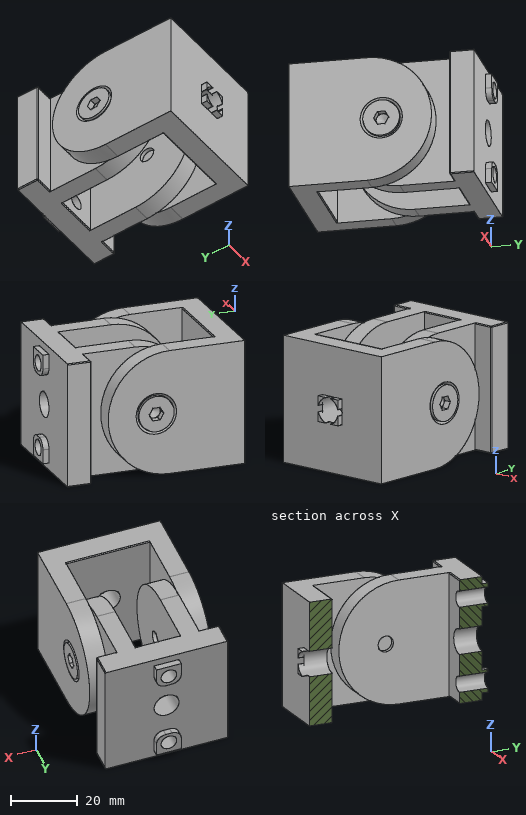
import cadquery as cq
import math


side = 39.5
total_length = 61.0
key_height = 1.95
end_face_y = total_length / 2 - key_height
floor_y = 21.0
arm_end_radius = side / 2
arm_end_offset = 4.3
edge_chamfer = 0.3
center_bore_diameter = 8.0

outer_fork_gap = 26.95
inner_fork_width = 26.5
inner_fork_gap = 14.5

key_width = 8.0
cross_slot_width = 2.0
end_key_outer_z = 17.45
end_key_inner_z = 10.0
end_key_corner_radius = 3.0

flange_hole_z = 13.55
flange_hole_diameter = 5.0

screw_overall_width = 39.95
screw_length = 11.45
head_diameter = 11.35
head_land = 1.05
shank_diameter = 6.0
tip_diameter = 5.0
hex_across_flats = 4.0
hex_depth = 2.2
hex_cone_depth = 1.15
head_face_x = screw_overall_width / 2
screw_tip_x = head_face_x - screw_length
shoulder_x = outer_fork_gap / 2
cone_start_x = head_face_x - head_land
cone_end_x = cone_start_x - (head_diameter - shank_diameter) / 2
seat_mouth_radius = head_diameter / 2 + (side / 2 - cone_start_x)


def box(x_range, y_range, z_range):
    """Box between the given limits on each axis."""
    size = [high - low for low, high in (x_range, y_range, z_range)]
    return cq.Workplane("XY").box(*size, centered=False).translate((x_range[0], y_range[0], z_range[0]))


def cylinder_along_y(diameter, y_range):
    length = y_range[1] - y_range[0]
    return cq.Workplane("XZ", origin=(0, y_range[1], 0)).circle(diameter / 2).extrude(length)


def make_arms(outer_width, gap_width, direction):
    """Pair of arms from the end face to their rounded ends, pointing along direction * Y."""
    root_y = -direction * end_face_y
    center_y = -direction * arm_end_offset
    tip_y = center_y + direction * arm_end_radius
    block = (
        cq.Workplane("YZ", origin=(-outer_width / 2, 0, 0))
        .moveTo(root_y, -side / 2)
        .lineTo(center_y, -side / 2)
        .threePointArc((tip_y, 0), (center_y, side / 2))
        .lineTo(root_y, side / 2)
        .close()
        .extrude(outer_width)
    )
    gap = box((-gap_width / 2, gap_width / 2), (-end_face_y, end_face_y), (-side / 2, side / 2))
    return block.cut(gap)


def revolve_about_x(profile):
    """Solid of revolution about the X axis from (x, radius) points."""
    return cq.Workplane("XY").polyline(profile).close().revolve(360, (0, 0, 0), (1, 0, 0))


def both_sides(body):
    """The body and its mirror image on the -X side."""
    return [body, body.mirror("YZ")]


def make_outer_fork():
    """Fork at -Y with the countersunk arms outside and a cross-slotted square key."""
    half = side / 2
    base = box((-half, half), (-end_face_y, -floor_y), (-half, half))
    base = base.faces(">Y").edges("|X").chamfer(edge_chamfer)
    fork = base.union(make_arms(side, outer_fork_gap, 1))

    key_y = (-total_length / 2, -end_face_y)
    key_half = key_width / 2
    slot_half = cross_slot_width / 2
    key = box((-key_half, key_half), key_y, (-key_half, key_half))
    key = key.cut(box((-slot_half, slot_half), key_y, (-key_half, key_half)))
    key = key.cut(box((-key_half, key_half), key_y, (-slot_half, slot_half)))
    fork = fork.union(key)
    fork = fork.cut(cylinder_along_y(center_bore_diameter, (-total_length / 2, -floor_y)))

    seat = revolve_about_x([
        (shoulder_x, 0),
        (shoulder_x, shank_diameter / 2),
        (cone_end_x, shank_diameter / 2),
        (half, seat_mouth_radius),
        (half, 0),
    ])
    for cutter in both_sides(seat):
        fork = fork.cut(cutter)
    return fork


def make_end_key():
    """Upper key on the +Y end face, with its two lower corners rounded."""
    half = key_width / 2
    key = box((-half, half), (end_face_y, total_length / 2), (end_key_inner_z, end_key_outer_z))
    return key.faces("<Z").edges("|Y").fillet(end_key_corner_radius)


def make_inner_fork():
    """Fork at +Y with a wide flange, its arms fitting between those of the outer fork."""
    half = side / 2
    flange = box((-half, half), (floor_y, end_face_y), (-half, half))
    flange = flange.edges("<Y or (|Y and (<X or >X))").chamfer(edge_chamfer)
    fork = flange.union(make_arms(inner_fork_width, inner_fork_gap, -1))

    upper_key = make_end_key()
    fork = fork.union(upper_key).union(upper_key.mirror("XY"))
    fork = fork.cut(cylinder_along_y(center_bore_diameter, (floor_y, end_face_y)))

    hole_y = (floor_y, total_length / 2)
    for z in (-flange_hole_z, flange_hole_z):
        fork = fork.cut(cylinder_along_y(flange_hole_diameter, hole_y).translate((0, 0, z)))

    screw_hole = cq.Workplane("YZ", origin=(-half, 0, 0)).circle(tip_diameter / 2).extrude(side)
    return fork.cut(screw_hole)


def make_screw():
    """Countersunk screw on the +X side, with a hexagonal socket ending in a cone."""
    screw = revolve_about_x([
        (screw_tip_x, 0),
        (screw_tip_x, tip_diameter / 2),
        (shoulder_x, tip_diameter / 2),
        (shoulder_x, shank_diameter / 2),
        (cone_end_x, shank_diameter / 2),
        (cone_start_x, head_diameter / 2),
        (head_face_x, head_diameter / 2),
        (head_face_x, 0),
    ])
    across_corners = hex_across_flats / math.cos(math.pi / 6)
    socket_floor_x = head_face_x - hex_depth
    socket = cq.Workplane("YZ", origin=(socket_floor_x, 0, 0)).polygon(6, across_corners).extrude(hex_depth)
    socket_cone = revolve_about_x([
        (socket_floor_x - hex_cone_depth, 0),
        (socket_floor_x, hex_across_flats / 2),
        (socket_floor_x, 0),
    ])
    return screw.cut(socket).cut(socket_cone)


outer_fork = make_outer_fork()
inner_fork = make_inner_fork()
screws = both_sides(make_screw())

result = cq.Compound.makeCompound(
    [outer_fork.val(), inner_fork.val(), *[screw.val() for screw in screws]]
)